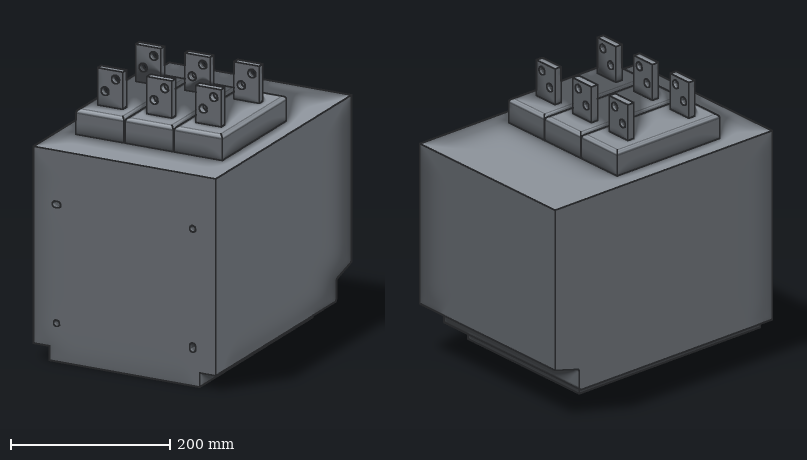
import cadquery as cq
import math

housing_width = 260.0
housing_depth = 360.0
housing_height = 262.0
foot_width = 214.0
foot_depth = 300.0
foot_height = 19.0
housing_top = foot_height + housing_height

notch_depth = 40.0
notch_rear_drop = 222.0
notch_slope_deg = 15.0
notch_corner_radius = 4.0

pole_count = 3
pole_pitch = 70.0
pad_width = 68.5
pad_depth = 170.0
pad_height = 33.5
pad_front = 65.0
pad_edge_radius = 5.0
pad_top = housing_top + pad_height

bar_width = 36.0
bar_thickness = 10.0
bar_height = 49.5
front_bar_y = 97.0
bar_spacing = 101.0
bar_top = pad_top + bar_height

bar_hole_diameter = 11.0
bar_hole_offset_x = 7.5
upper_bar_hole_drop = 11.5
bar_hole_spacing_z = 18.0

mount_hole_diameter = 8.5
mount_slot_length = 12.0
mount_hole_depth = 20.0
mount_spacing_x = 194.0
mount_spacing_z = 158.0
upper_mount_drop = 72.0


def make_housing():
    """Block with a sloped notch cut along its lower rear edge."""
    notch_y = housing_depth - notch_depth
    rear_edge_z = housing_top - notch_rear_drop
    notch_z = rear_edge_z - notch_depth * math.tan(math.radians(notch_slope_deg))
    block = (
        cq.Workplane("YZ")
        .moveTo(0, foot_height)
        .lineTo(notch_y, foot_height)
        .lineTo(notch_y, notch_z)
        .lineTo(housing_depth, rear_edge_z)
        .lineTo(housing_depth, housing_top)
        .lineTo(0, housing_top)
        .close()
        .extrude(housing_width / 2, both=True)
    )
    middle_z = (foot_height + notch_z) / 2
    notch_wall = block.faces(cq.selectors.NearestToPointSelector((0, notch_y, middle_z)))
    return notch_wall.edges("|X").fillet(notch_corner_radius)


def make_foot():
    """Narrower base plate, flush with the front."""
    return cq.Workplane("XY").box(foot_width, foot_depth, foot_height, centered=(True, False, False))


def make_pad(center_x):
    """Terminal pad with rounded top edges."""
    return (
        cq.Workplane("XY", origin=(center_x, pad_front, housing_top))
        .box(pad_width, pad_depth, pad_height, centered=(True, False, False))
        .faces(">Z")
        .edges()
        .fillet(pad_edge_radius)
    )


def make_bar(center_x, center_y):
    """Upright connection bar with two holes, the upper one towards +X."""
    bar = cq.Workplane("XY", origin=(center_x, center_y, pad_top)).box(
        bar_width, bar_thickness, bar_height, centered=(True, True, False)
    )
    upper_z = bar_top - upper_bar_hole_drop
    lower_z = upper_z - bar_hole_spacing_z
    holes = (
        cq.Workplane("XZ", origin=(center_x, center_y, 0))
        .pushPoints([(bar_hole_offset_x, upper_z), (-bar_hole_offset_x, lower_z)])
        .circle(bar_hole_diameter / 2)
        .extrude(bar_thickness, both=True)
    )
    return bar.cut(holes)


def make_mount_holes():
    """Blind holes in the front face: round on one diagonal, elongated on the other."""
    right_x = mount_spacing_x / 2
    left_x = -right_x
    upper_z = housing_top - upper_mount_drop
    lower_z = upper_z - mount_spacing_z
    front = cq.Workplane("XZ")
    round_holes = (
        front.pushPoints([(right_x, upper_z), (left_x, lower_z)])
        .circle(mount_hole_diameter / 2)
        .extrude(-mount_hole_depth)
    )
    horizontal_slot = (
        front.center(left_x, upper_z)
        .slot2D(mount_slot_length, mount_hole_diameter)
        .extrude(-mount_hole_depth)
    )
    vertical_slot = (
        front.center(right_x, lower_z)
        .slot2D(mount_slot_length, mount_hole_diameter, angle=90)
        .extrude(-mount_hole_depth)
    )
    return round_holes.union(horizontal_slot).union(vertical_slot)


result = make_housing().union(make_foot())
for pole in range(pole_count):
    pole_x = (pole - (pole_count - 1) / 2) * pole_pitch
    result = result.union(make_pad(pole_x))
    for bar_y in (front_bar_y, front_bar_y + bar_spacing):
        result = result.union(make_bar(pole_x, bar_y))
result = result.cut(make_mount_holes())